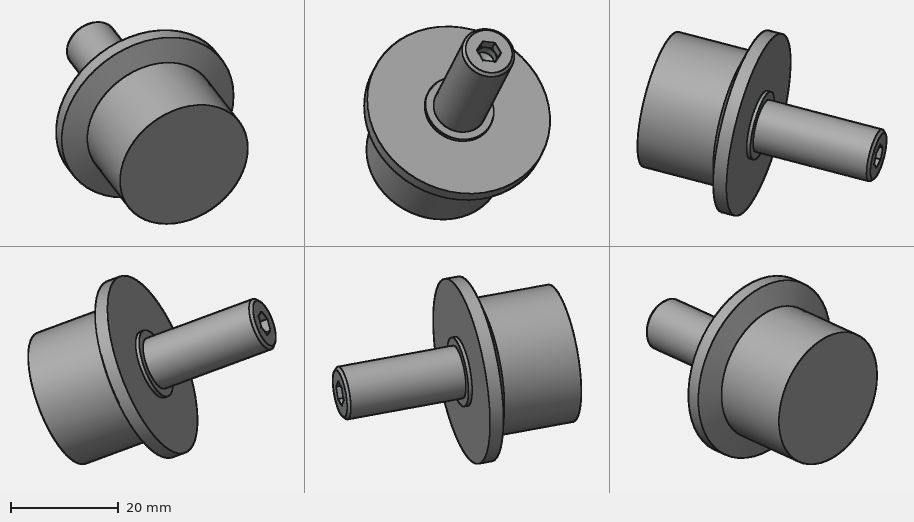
import cadquery as cq
import math

total_length = 43.0
shaft_length = 23.0
collar_length = 0.75
rim_length = 2.62
cone_length = 1.65

shaft_diameter = 10.0
collar_diameter = 13.07
rim_diameter = 35.0
hub_diameter = 26.0

shaft_chamfer = 0.55

socket_across_flats = 4.0
socket_depth = 2.25
pilot_length = 2.0
drill_point_angle = 120.0

collar_start = shaft_length
rim_start = collar_start + collar_length
cone_start = rim_start + rim_length
hub_start = cone_start + cone_length


def make_body():
    """Revolve the stepped half profile about the X axis."""
    shaft_radius = shaft_diameter / 2
    collar_radius = collar_diameter / 2
    rim_radius = rim_diameter / 2
    hub_radius = hub_diameter / 2
    profile = [
        (0, 0),
        (0, shaft_radius - shaft_chamfer),
        (shaft_chamfer, shaft_radius),
        (collar_start, shaft_radius),
        (collar_start, collar_radius),
        (rim_start, collar_radius),
        (rim_start, rim_radius),
        (cone_start, rim_radius),
        (hub_start, hub_radius),
        (total_length, hub_radius),
        (total_length, 0),
    ]
    return cq.Workplane("XY").polyline(profile).close().revolve(360, (0, 0), (1, 0))


def make_socket():
    """Hexagonal socket with two corners on the Y axis, above a drilled pilot hole."""
    across_corners = socket_across_flats / math.cos(math.radians(30))
    hexagon = cq.Workplane("YZ").polygon(6, across_corners).extrude(socket_depth)
    pilot_radius = socket_across_flats / 2
    pilot_end = socket_depth + pilot_length
    point_length = pilot_radius / math.tan(math.radians(drill_point_angle / 2))
    pilot_profile = [
        (socket_depth, 0),
        (socket_depth, pilot_radius),
        (pilot_end, pilot_radius),
        (pilot_end + point_length, 0),
    ]
    pilot = cq.Workplane("XY").polyline(pilot_profile).close().revolve(360, (0, 0), (1, 0))
    return hexagon.union(pilot)


result = make_body().cut(make_socket())